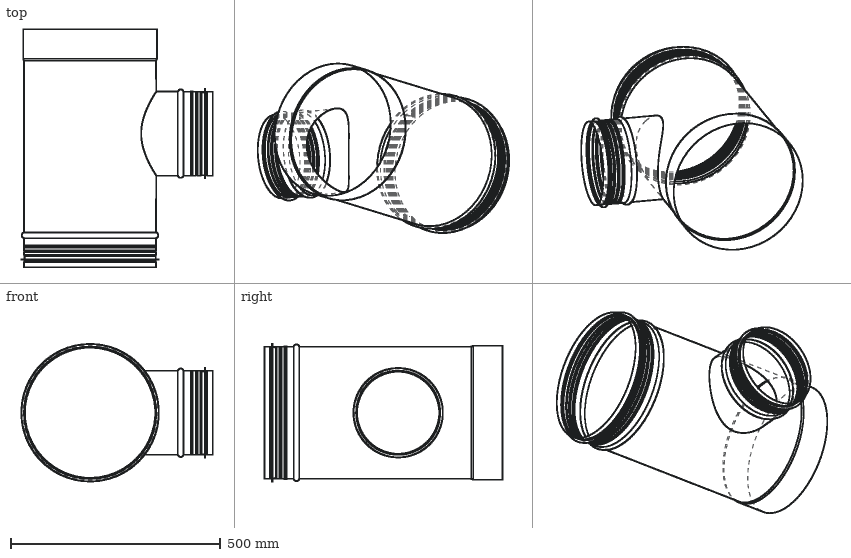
import cadquery as cq
import math


SHEET = 0.5
MAIN_RADIUS = 316.6 / 2
BRANCH_RADIUS = 201.6 / 2
MAIN_LENGTH = 570.0
SPIGOT_REACH = 320.0
SEAL_LIP_HEIGHT = 6.5
BRANCH_REACH = 458.3 - MAIN_RADIUS - SEAL_LIP_HEIGHT

SOCKET_RADIUS = 320.6 / 2
SOCKET_LENGTH = 70.5
SOCKET_TAPER = 5.0

BEAD_CENTRE = 76.9
BEAD_HALF_WIDTH = 7.0
BEAD_HEIGHT = 5.2

LIP_GROOVE = (21.5, 8.5, 5.5, 2.3)
MIDDLE_GROOVE = (38.6, 2.4, 0.8, 2.3)
RING_GROOVE = (50.5, 2.8, 1.2, 0.9)

SEAL_BASE_THICKNESS = 1.6
LIP_CENTRE = 19.1
LIP_THICKNESS = 1.5
RING_PROUD = 0.2


def groove_points(groove, radius, inset):
    """Outline of one groove, on the duct surface or on its parallel inner face."""
    centre, mouth, floor, depth = groove
    slope = math.atan2(depth, mouth - floor)
    shift = inset * math.tan(slope / 2)
    surface = radius - inset
    return [
        (centre - mouth - shift, surface),
        (centre - floor - shift, surface - depth),
        (centre + floor + shift, surface - depth),
        (centre + mouth + shift, surface),
    ]


def spigot_outline(radius, inset):
    """Open outline (distance from end, radius) from the axis up and along the spigot."""
    surface = radius - inset
    arc_radius = (BEAD_HALF_WIDTH**2 + BEAD_HEIGHT**2) / (2 * BEAD_HEIGHT)
    arc_centre = radius + BEAD_HEIGHT - arc_radius
    half_width = math.sqrt((arc_radius - inset)**2 - (surface - arc_centre)**2)
    outline = cq.Workplane("XY").moveTo(0, 0).lineTo(0, surface)
    for groove in (LIP_GROOVE, MIDDLE_GROOVE, RING_GROOVE):
        for point in groove_points(groove, radius, inset):
            outline = outline.lineTo(*point)
    return outline.lineTo(BEAD_CENTRE - half_width, surface).threePointArc(
        (BEAD_CENTRE, surface + BEAD_HEIGHT),
        (BEAD_CENTRE + half_width, surface),
    )


def spin(outline):
    """Solid of revolution about X from an open outline that starts and ends in place."""
    return outline.close().revolve(360, (0, 0, 0), (1, 0, 0))


def main_core(inset):
    """Filled shape of the main duct, shrunk by the inset."""
    socket_start = MAIN_LENGTH - SOCKET_LENGTH
    outline = (
        spigot_outline(MAIN_RADIUS, inset)
        .lineTo(socket_start - SOCKET_TAPER, MAIN_RADIUS - inset)
        .lineTo(socket_start, SOCKET_RADIUS - inset)
        .lineTo(MAIN_LENGTH, SOCKET_RADIUS - inset)
        .lineTo(MAIN_LENGTH, 0)
    )
    return spin(outline)


def branch_core(inset):
    """Filled shape of the branch duct, reaching in to the main axis."""
    outline = (
        spigot_outline(BRANCH_RADIUS, inset)
        .lineTo(BRANCH_REACH, BRANCH_RADIUS - inset)
        .lineTo(BRANCH_REACH, 0)
    )
    return spin(outline)


def lip_seal(radius):
    """Seal lying on the floor of the lip groove, with a thin upright lip."""
    centre, _, floor, depth = LIP_GROOVE
    bottom = radius - depth
    top = bottom + SEAL_BASE_THICKNESS
    tip = radius + SEAL_LIP_HEIGHT
    lip_start = LIP_CENTRE - LIP_THICKNESS / 2
    lip_end = LIP_CENTRE + LIP_THICKNESS / 2
    return spin(cq.Workplane("XY").polyline([
        (centre - floor, bottom),
        (centre - floor, top),
        (lip_start, top),
        (lip_start, tip),
        (lip_end, tip),
        (lip_end, top),
        (centre + floor, top),
        (centre + floor, bottom),
    ]))


def ring_seal(radius):
    """Seal ring that fills the ring groove and stands slightly proud."""
    mouth_left, floor_left, floor_right, mouth_right = groove_points(RING_GROOVE, radius, 0)
    proud = radius + RING_PROUD
    return spin(cq.Workplane("XY").polyline([
        floor_left,
        mouth_left,
        (mouth_left[0], proud),
        (mouth_right[0], proud),
        mouth_right,
        floor_right,
    ]))


def on_main(body):
    """Move a body from the spigot frame to the main duct, which opens toward -Y."""
    return body.rotate((0, 0, 0), (0, 0, 1), 90).translate((0, -SPIGOT_REACH, 0))


def on_branch(body):
    """Move a body from the spigot frame to the branch duct, which opens toward +X."""
    return body.rotate((0, 0, 0), (0, 0, 1), 180).translate((BRANCH_REACH, 0, 0))


branch_bore = on_branch(branch_core(SHEET))
main_duct = on_main(main_core(0).cut(main_core(SHEET))).cut(branch_bore)

main_envelope = cq.Workplane("XZ").circle(MAIN_RADIUS).extrude(MAIN_LENGTH, both=True)
branch_duct = on_branch(branch_core(0)).cut(branch_bore).cut(main_envelope)

seals = []
for place, radius in ((on_main, MAIN_RADIUS), (on_branch, BRANCH_RADIUS)):
    seals.append(place(lip_seal(radius)).val())
    seals.append(place(ring_seal(radius)).val())

result = cq.Compound.makeCompound([main_duct.val(), branch_duct.val(), *seals])